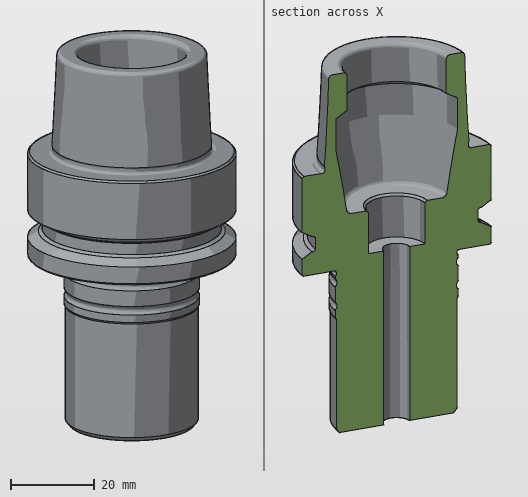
import cadquery as cq
import math

height = 93.0
shank_radius = 32.0 / 2
foot_chamfer_width = 0.9
foot_chamfer_height = 1.1

collar_radius = 32.55 / 2
collar_bottom = 30.0
collar_top = 40.7
collar_chamfer_height = 0.5
groove_width = 2.1
groove_chamfer_height = 0.5
groove_arc_depth = 0.2
groove_bottoms = (31.9, 37.9)
relief_depth = 0.33

flange_radius = 50.0 / 2
flange_bottom = 42.0
flange_top = 68.0
flange_bottom_chamfer = 0.4
flange_top_chamfer = 0.5
gripper_radius = 43.0 / 2
gripper_lower_rim = 46.6
gripper_upper_rim = 53.5
gripper_angle = math.radians(60)
gripper_root_width = 0.9
gripper_root_sag = 0.14

neck_radius = 38.0 / 2
neck_fillet = 0.7
face_recess_depth = 0.1
face_recess_radius = 20.5

taper_bottom = 69.7
taper_bottom_radius = 19.2
taper_ratio = 1 / 10
taper_top_radius = taper_bottom_radius - (height - taper_bottom) * taper_ratio / 2
taper_rim_fillet = 1.0
neck_top = 69.2

mouth_radius = 26.0 / 2
mouth_fillet = 1.2
lip_bottom = 83.05
cavity_radius = 32.0 / 2
cavity_floor_radius = 11.9
cavity_wall_bottom = 73.3
cavity_fillet = 1.3
cavity_cone_angle = math.radians(10)
shoulder_angle = math.radians(30)

seat_radius = 14.9 / 2
seat_chamfer = 0.6
seat_depth = 11.2
hole_radius = 6.8 / 2


def arc_point(center_radius, center_z, size, angle_degrees):
    """Point of a profile arc at the given angle, measured from the outward radial direction."""
    angle = math.radians(angle_degrees)
    return (center_radius + size * math.cos(angle), center_z + size * math.sin(angle))


def add_collar_groove(profile, bottom):
    """Ring groove across the collar, drawn going up: chamfered edges and a hollow between them."""
    top = bottom + groove_width
    return (
        profile.lineTo(collar_radius, bottom)
        .lineTo(shank_radius, bottom + groove_chamfer_height)
        .threePointArc(
            (shank_radius - groove_arc_depth, (bottom + top) / 2),
            (shank_radius, top - groove_chamfer_height),
        )
        .lineTo(collar_radius, top)
    )


def add_gripper_groove(profile):
    """V-shaped groove around the flange with hollow roots, drawn from lower to upper rim."""
    flank_height = (flange_radius - gripper_radius) / math.tan(gripper_angle)
    lower_root = gripper_lower_rim + flank_height
    upper_root = gripper_upper_rim - flank_height
    root_radius = gripper_radius + gripper_root_width
    root_height = gripper_root_width / math.tan(gripper_angle)
    hollow_radius = (gripper_radius + root_radius) / 2 - gripper_root_sag * math.cos(gripper_angle)
    hollow_height = root_height / 2 + gripper_root_sag * math.sin(gripper_angle)
    return (
        profile.lineTo(root_radius, lower_root - root_height)
        .threePointArc((hollow_radius, lower_root - hollow_height), (gripper_radius, lower_root))
        .lineTo(gripper_radius, upper_root)
        .threePointArc(
            (hollow_radius, upper_root + hollow_height),
            (root_radius, upper_root + root_height),
        )
        .lineTo(flange_radius, gripper_upper_rim)
    )


def make_body():
    recess_floor = flange_top - face_recess_depth
    profile = (
        cq.Workplane("XZ")
        .lineTo(shank_radius - foot_chamfer_width, 0)
        .lineTo(shank_radius, foot_chamfer_height)
        .lineTo(shank_radius, collar_bottom - collar_chamfer_height)
        .lineTo(collar_radius, collar_bottom)
    )
    for bottom in groove_bottoms:
        profile = add_collar_groove(profile, bottom)
    profile = (
        profile.lineTo(collar_radius, collar_top)
        .threePointArc(
            (collar_radius - relief_depth, (collar_top + flange_bottom) / 2),
            (collar_radius, flange_bottom),
        )
        .lineTo(flange_radius - flange_bottom_chamfer, flange_bottom)
        .lineTo(flange_radius, flange_bottom + flange_bottom_chamfer)
        .lineTo(flange_radius, gripper_lower_rim)
    )
    profile = (
        add_gripper_groove(profile)
        .lineTo(flange_radius, flange_top - flange_top_chamfer)
        .lineTo(flange_radius - flange_top_chamfer, flange_top)
        .lineTo(face_recess_radius, flange_top)
        .lineTo(neck_radius + neck_fillet, recess_floor)
        .threePointArc(
            arc_point(neck_radius + neck_fillet, recess_floor + neck_fillet, neck_fillet, 225),
            (neck_radius, recess_floor + neck_fillet),
        )
        .lineTo(neck_radius, neck_top)
        .lineTo(taper_bottom_radius, taper_bottom)
        .lineTo(taper_top_radius, height)
        .lineTo(0, height)
        .close()
    )
    body = profile.revolve(360, (0, 0), (0, 1))
    return body.faces(">Z").edges().fillet(taper_rim_fillet)


def make_cavity():
    shoulder_height = (cavity_radius - mouth_radius) * math.tan(shoulder_angle)
    cone_end_radius = cavity_floor_radius + cavity_fillet * math.cos(cavity_cone_angle)
    cone_end = cavity_wall_bottom - (cavity_radius - cone_end_radius) / math.tan(cavity_cone_angle)
    fillet_center = cone_end + cavity_fillet * math.sin(cavity_cone_angle)
    cavity_floor = fillet_center - cavity_fillet
    seat_bottom = cavity_floor - seat_depth
    return (
        cq.Workplane("XZ")
        .lineTo(hole_radius, 0)
        .lineTo(hole_radius, seat_bottom)
        .lineTo(seat_radius, seat_bottom)
        .lineTo(seat_radius, cavity_floor - seat_chamfer)
        .lineTo(seat_radius + seat_chamfer, cavity_floor)
        .lineTo(cavity_floor_radius, cavity_floor)
        .threePointArc(
            arc_point(cavity_floor_radius, fillet_center, cavity_fillet, -50),
            (cone_end_radius, cone_end),
        )
        .lineTo(cavity_radius, cavity_wall_bottom)
        .lineTo(cavity_radius, lip_bottom - shoulder_height)
        .lineTo(mouth_radius, lip_bottom)
        .lineTo(mouth_radius, height - mouth_fillet)
        .threePointArc(
            arc_point(mouth_radius + mouth_fillet, height - mouth_fillet, mouth_fillet, 135),
            (mouth_radius + mouth_fillet, height),
        )
        .lineTo(0, height)
        .close()
        .revolve(360, (0, 0), (0, 1))
    )


result = make_body().cut(make_cavity())